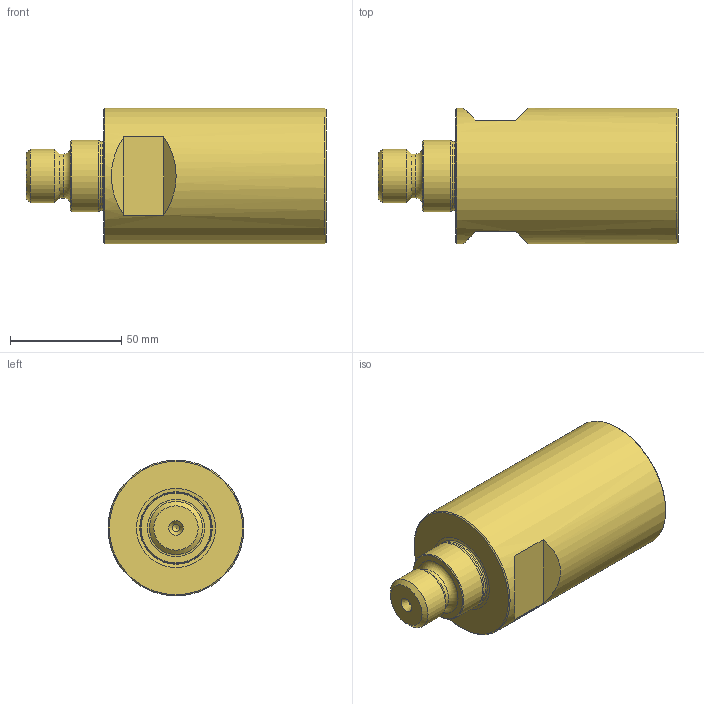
import cadquery as cq
import math

total_length = 135.0
stud_end_x = 13.0
groove_floor_start_x = 15.3
collar_start_x = 20.0
collar_end_x = 32.5
body_start_x = 35.0

stud_radius = 24.0 / 2
stud_tip_radius = 20.0 / 2
stud_chamfer_length = 1.8
groove_radius = 19.8 / 2
groove_fillet = 3.0

collar_radius = 32.2 / 2
collar_chamfer = 0.4
undercut_radius = 31.4 / 2
undercut_runout = 1.2
undercut_fillet = 0.6
undercut_face_depth = 0.2
undercut_face_radius = 35.6 / 2

body_radius = 61.1 / 2
body_chamfer = 0.5
flat_start_x = 44.0
flat_length = 18.0
across_flats = 50.0
flat_depth = body_radius - across_flats / 2

centre_mouth_radius = 6.7 / 2
centre_bore_radius = 3.15 / 2
centre_cone_half_angle = math.radians(30)
centre_bore_end_x = 5.6
drill_tip_half_angle = math.radians(59)


def turned_shape():
    """Revolve the stud, collar and body outline about the X axis."""
    diagonal = math.sqrt(0.5)
    groove_fillet_start_x = collar_start_x - groove_fillet
    groove_fillet_mid = (
        groove_fillet_start_x + groove_fillet * diagonal,
        groove_radius + groove_fillet * (1 - diagonal),
    )
    undercut_bottom_x = body_start_x + undercut_face_depth
    undercut_fillet_start_x = undercut_bottom_x - undercut_fillet
    undercut_fillet_mid = (
        undercut_fillet_start_x + undercut_fillet * diagonal,
        undercut_radius + undercut_fillet * (1 - diagonal),
    )
    outline = (
        cq.Workplane("XY")
        .moveTo(0, 0)
        .lineTo(0, stud_tip_radius)
        .lineTo(stud_chamfer_length, stud_radius)
        .lineTo(stud_end_x, stud_radius)
        .lineTo(groove_floor_start_x, groove_radius)
        .lineTo(groove_fillet_start_x, groove_radius)
        .threePointArc(groove_fillet_mid, (collar_start_x, groove_radius + groove_fillet))
        .lineTo(collar_start_x, collar_radius - collar_chamfer)
        .lineTo(collar_start_x + collar_chamfer, collar_radius)
        .lineTo(collar_end_x, collar_radius)
        .lineTo(collar_end_x + undercut_runout, undercut_radius)
        .lineTo(undercut_fillet_start_x, undercut_radius)
        .threePointArc(undercut_fillet_mid, (undercut_bottom_x, undercut_radius + undercut_fillet))
        .lineTo(body_start_x, undercut_face_radius)
        .lineTo(body_start_x, body_radius - body_chamfer)
        .lineTo(body_start_x + body_chamfer, body_radius)
        .lineTo(total_length - body_chamfer, body_radius)
        .lineTo(total_length, body_radius - body_chamfer)
        .lineTo(total_length, 0)
        .close()
    )
    return outline.revolve(360, (0, 0, 0), (1, 0, 0))


def wrench_flat_cutter():
    """Trapezoidal prism with 45 degree end ramps, on the +Y side."""
    flat_end_x = flat_start_x + flat_length
    flat_y = across_flats / 2
    ramp = 2 * flat_depth
    return (
        cq.Workplane("XY")
        .moveTo(flat_start_x, flat_y)
        .lineTo(flat_end_x, flat_y)
        .lineTo(flat_end_x + ramp, flat_y + ramp)
        .lineTo(flat_start_x - ramp, flat_y + ramp)
        .close()
        .extrude(body_radius, both=True)
    )


def centre_drilling():
    """Cone, pilot bore and drill tip, revolved about the X axis."""
    cone_end_x = (centre_mouth_radius - centre_bore_radius) / math.tan(centre_cone_half_angle)
    tip_x = centre_bore_end_x + centre_bore_radius / math.tan(drill_tip_half_angle)
    return (
        cq.Workplane("XY")
        .moveTo(0, 0)
        .lineTo(0, centre_mouth_radius)
        .lineTo(cone_end_x, centre_bore_radius)
        .lineTo(centre_bore_end_x, centre_bore_radius)
        .lineTo(tip_x, 0)
        .close()
        .revolve(360, (0, 0, 0), (1, 0, 0))
    )


flat_cutter = wrench_flat_cutter()
result = turned_shape()
result = result.cut(flat_cutter).cut(flat_cutter.mirror("XZ"))
result = result.cut(centre_drilling())